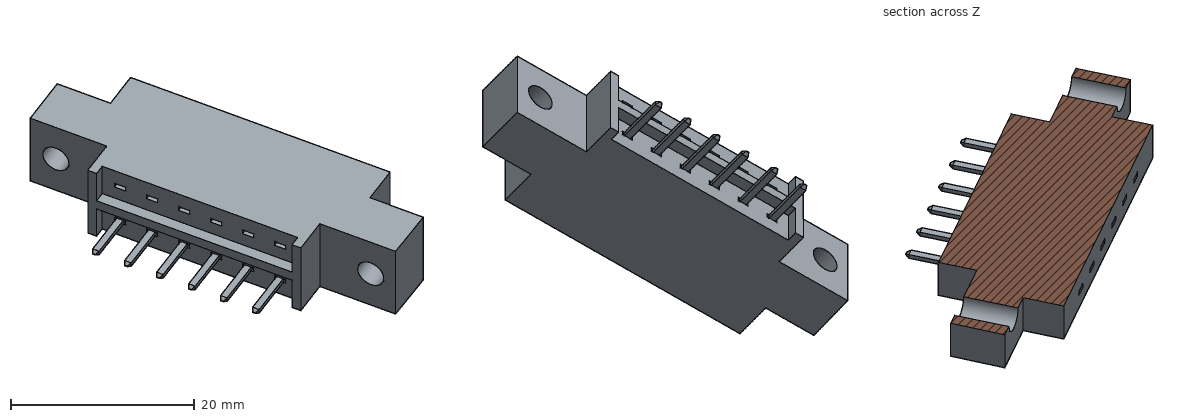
import cadquery as cq

length = 45.3
height = 9.4
body_depth = 15.3

rear_width = 32.12
front_width = 26.35
ear_front = 4.4
ear_depth = 6.25
ear_back = ear_front + ear_depth
ear_end_taper = 0.1

hole_diameter = 3.2
hole_spacing = 38.95

recess_width = 24.2
recess_depth = 1.3
web_thickness = 1.22

contact_count = 6
row_length = 19.8
pitch = row_length / (contact_count - 1)
row_offset = 2.55
slot_width = 1.35
slot_height = 0.55

pin_width = 0.8
pin_reach = 4.7
tip_length = 0.45
tip_end_width = 0.35
tip_end_height = 0.1
shoulder_length = 0.7
shoulder_setback = 0.15
shoulder_front = recess_depth + shoulder_setback
shoulder_back = shoulder_front + shoulder_length

contact_xs = [i * pitch - row_length / 2 for i in range(contact_count)]


def make_blank():
    """Stepped block; the end face of the +X ear leans inward toward the front."""
    outline = [
        (-front_width / 2, 0),
        (front_width / 2, 0),
        (front_width / 2, ear_front),
        (length / 2 - ear_end_taper, ear_front),
        (length / 2, ear_back),
        (rear_width / 2, ear_back),
        (rear_width / 2, body_depth),
        (-rear_width / 2, body_depth),
        (-rear_width / 2, ear_back),
        (-length / 2, ear_back),
        (-length / 2, ear_front),
        (-front_width / 2, ear_front),
    ]
    return cq.Workplane("XY").polyline(outline).close().extrude(height / 2, both=True)


def make_ear_holes():
    return (
        cq.Workplane("XZ")
        .pushPoints([(-hole_spacing / 2, 0), (hole_spacing / 2, 0)])
        .circle(hole_diameter / 2)
        .extrude(-body_depth)
    )


def make_recess(side):
    """Flat recess above (side = 1) or below (side = -1) the central web."""
    recess_height = (height - web_thickness) / 2
    center_z = side * (web_thickness + recess_height) / 2
    return (
        cq.Workplane("XZ", origin=(0, 0, center_z))
        .rect(recess_width, recess_height)
        .extrude(-recess_depth)
    )


def make_slots(z):
    """One row of straight slots running through the full depth of the body."""
    return (
        cq.Workplane("XZ")
        .pushPoints([(x, z) for x in contact_xs])
        .rect(slot_width, slot_height)
        .extrude(-body_depth)
    )


def make_housing():
    housing = make_blank().cut(make_ear_holes())
    for side in (1, -1):
        housing = housing.cut(make_recess(side)).cut(make_slots(side * row_offset))
    return housing


def make_pin(x):
    """Pin with a pyramid tip, tapering out through shoulders to a blade that fills its slot."""
    tip_base = tip_length - pin_reach
    profile = [
        (-pin_width / 2, tip_base),
        (pin_width / 2, tip_base),
        (pin_width / 2, shoulder_front),
        (slot_width / 2, shoulder_back),
        (slot_width / 2, body_depth),
        (-slot_width / 2, body_depth),
        (-slot_width / 2, shoulder_back),
        (-pin_width / 2, shoulder_front),
    ]
    shank = cq.Workplane("XY").polyline(profile).close().extrude(slot_height / 2, both=True)
    tip = (
        cq.Workplane("XZ", origin=(0, tip_base, 0))
        .rect(pin_width, slot_height)
        .workplane(offset=tip_length)
        .rect(tip_end_width, tip_end_height)
        .loft(ruled=True)
    )
    return shank.union(tip).translate((x, 0, -row_offset))


housing = make_housing()
pins = [make_pin(x) for x in contact_xs]

result = cq.Compound.makeCompound([housing.val(), *[pin.val() for pin in pins]])